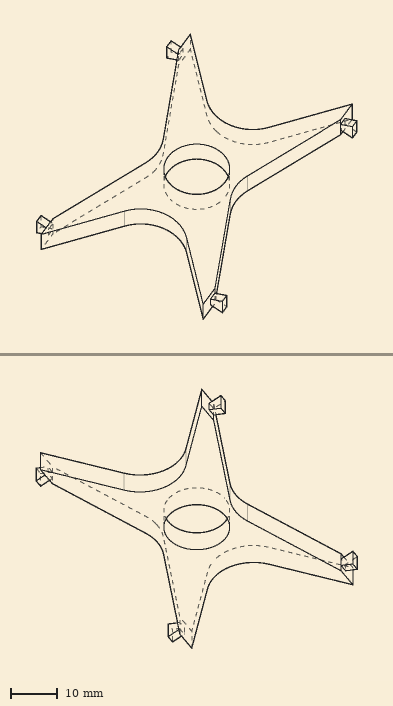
import cadquery as cq

length = 65.0
width = 40.0
thickness = 5.0
notch_apex = 8.9
notch_radius = 10.0
tip_flat = 5.15
bore_diameter = 14.2

tab_length = 2.9
tab_width = 1.95
tab_root_height = 1.9
tab_end_height = 3.8

half_length = length / 2
half_width = width / 2
tip_inner_y = half_length - tip_flat


def make_plate():
    """Four-armed plate, centred on the origin, with rounded notches and a bore."""
    outline = [
        (notch_apex, 0),
        (half_width, tip_inner_y),
        (half_width, half_length),
        (0, notch_apex),
        (-half_width, half_length),
        (-half_width, tip_inner_y),
        (-notch_apex, 0),
        (-half_width, -tip_inner_y),
        (-half_width, -half_length),
        (0, -notch_apex),
        (half_width, -half_length),
        (half_width, -tip_inner_y),
    ]
    base = cq.Workplane("XY").workplane(offset=-thickness / 2)
    plate = base.polyline(outline).close().extrude(thickness)
    reach = (notch_apex + half_width) / 2
    notch_zone = cq.selectors.BoxSelector((-reach, -reach, -thickness), (reach, reach, thickness))
    plate = plate.edges("|Z").edges(notch_zone).fillet(notch_radius)
    bore = base.circle(bore_diameter / 2).extrude(thickness)
    return plate.cut(bore)


def make_tab(x_side, y_side):
    """Dovetail tab that widens in Z away from the arm's end face."""
    root_x = x_side * half_width
    end_x = x_side * (half_width + tab_length)
    profile = [
        (root_x, -tab_root_height / 2),
        (end_x, -tab_end_height / 2),
        (end_x, tab_end_height / 2),
        (root_x, tab_root_height / 2),
    ]
    center_y = y_side * (tip_inner_y + tab_width / 2)
    start = cq.Workplane("XZ", origin=(0, center_y + tab_width / 2, 0))
    return start.polyline(profile).close().extrude(tab_width)


result = make_plate()
for x_side in (-1, 1):
    for y_side in (-1, 1):
        result = result.union(make_tab(x_side, y_side))